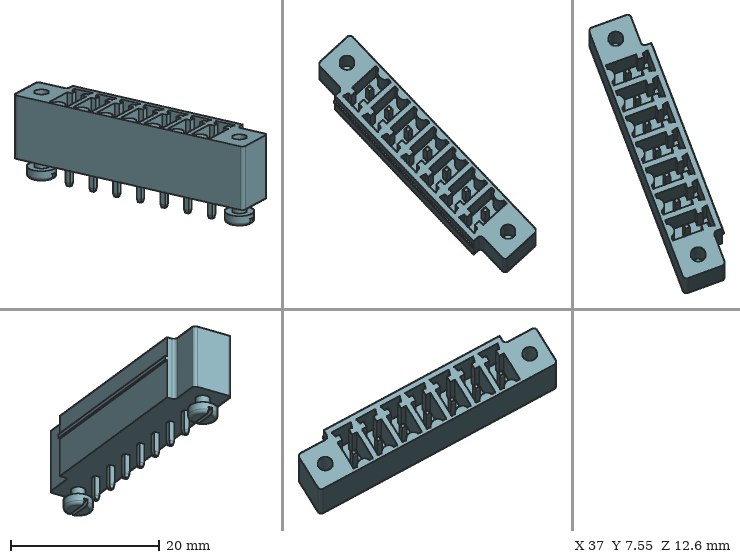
import cadquery as cq


length = 37.05
rib_length = 27.42
overall_depth = 7.55
rib_projection = 0.25
body_depth = overall_depth - rib_projection
ear_depth = 6.0
body_height = 9.15
corner_radius = 0.52
rib_height = 0.6
rib_top_drop = 2.9

contact_count = 7
contact_pitch = 3.8
contact_y = 3.0
pin_width = 0.78
pin_tip_width = 0.52
pin_taper = 0.55
overall_height = 12.6
pin_bottom = body_height - overall_height
pin_top = 7.7

floor_thickness = 2.0
pocket_width = 3.0
pocket_front = 0.5
shoulder_y = 4.8
neck_width = 1.52
dovetail_y = 5.7
dovetail_width = 2.6
pocket_back = 6.5
key_radius = 1.0
key_center_y = 0.15

screw_x = 15.95
shank_diameter = 2.0
head_diameter = 4.0
head_gap = 1.52
head_height = 1.52
head_fillet = 0.5
drive_slot_width = 0.6
drive_slot_depth = 0.85

contact_xs = [(i - (contact_count - 1) / 2) * contact_pitch for i in range(contact_count)]
screw_xs = [-screw_x, screw_x]


def make_housing():
    """Flanged block with rounded upright corners and a rib along its back."""
    flanges = cq.Workplane("XY").box(length, ear_depth, body_height, centered=(True, False, False))
    middle = cq.Workplane("XY").box(rib_length, body_depth, body_height, centered=(True, False, False))
    block = flanges.union(middle)

    mid_z = body_height / 2
    for side in (-1, 1):
        for x, y in ((length / 2, 0), (length / 2, ear_depth), (rib_length / 2, ear_depth)):
            edge = cq.selectors.NearestToPointSelector((side * x, y, mid_z))
            block = block.edges("|Z").edges(edge).fillet(corner_radius)

    rib_base = body_height - rib_top_drop - rib_height
    rib = (
        cq.Workplane("XY", origin=(0, body_depth, rib_base))
        .box(rib_length, rib_projection, rib_height, centered=(True, False, False))
    )
    return block.union(rib)


def make_pocket(x):
    """Pocket with a keyed front wall, a narrow neck and a flared back."""
    half_outline = [
        (pocket_width / 2, pocket_front),
        (pocket_width / 2, shoulder_y),
        (neck_width / 2, shoulder_y),
        (neck_width / 2, dovetail_y),
        (dovetail_width / 2, dovetail_y),
        (pocket_width / 2, pocket_back),
    ]
    outline = half_outline + [(-px, py) for px, py in reversed(half_outline)]
    depth = body_height - floor_thickness
    base = cq.Workplane("XY", origin=(x, 0, floor_thickness))
    key = base.center(0, key_center_y).circle(key_radius).extrude(depth)
    return base.polyline(outline).close().extrude(depth).cut(key)


def make_pin(x):
    """Square pin tapered at both ends."""
    shaft_bottom = pin_bottom + pin_taper
    shaft_top = pin_top - pin_taper
    pin = (
        cq.Workplane("XY", origin=(x, contact_y, shaft_bottom))
        .rect(pin_width, pin_width)
        .extrude(shaft_top - shaft_bottom)
    )
    for shaft_end, tip in ((shaft_bottom, pin_bottom), (shaft_top, pin_top)):
        taper = (
            cq.Workplane("XY", origin=(x, contact_y, shaft_end))
            .rect(pin_width, pin_width)
            .workplane(offset=tip - shaft_end)
            .rect(pin_tip_width, pin_tip_width)
            .loft(ruled=True)
        )
        pin = pin.union(taper)
    return pin


def make_screw(x):
    """Slotted screw hanging head-down below the housing."""
    shank = (
        cq.Workplane("XY", origin=(x, contact_y, -head_gap))
        .circle(shank_diameter / 2)
        .extrude(head_gap + floor_thickness)
    )
    head_bottom = -head_gap - head_height
    head = (
        cq.Workplane("XY", origin=(x, contact_y, head_bottom))
        .circle(head_diameter / 2)
        .extrude(head_height)
        .faces("<Z")
        .edges()
        .fillet(head_fillet)
    )
    drive_slot = (
        cq.Workplane("XY", origin=(x, contact_y, head_bottom))
        .rect(head_diameter, drive_slot_width)
        .extrude(drive_slot_depth)
    )
    return shank.union(head.cut(drive_slot))


def make_screw_hole(x):
    """Open bore above the end of the screw."""
    return (
        cq.Workplane("XY", origin=(x, contact_y, floor_thickness))
        .circle(shank_diameter / 2)
        .extrude(body_height - floor_thickness)
    )


result = make_housing()
for contact_x in contact_xs:
    result = result.cut(make_pocket(contact_x)).union(make_pin(contact_x))
for mount_x in screw_xs:
    result = result.cut(make_screw_hole(mount_x)).union(make_screw(mount_x))